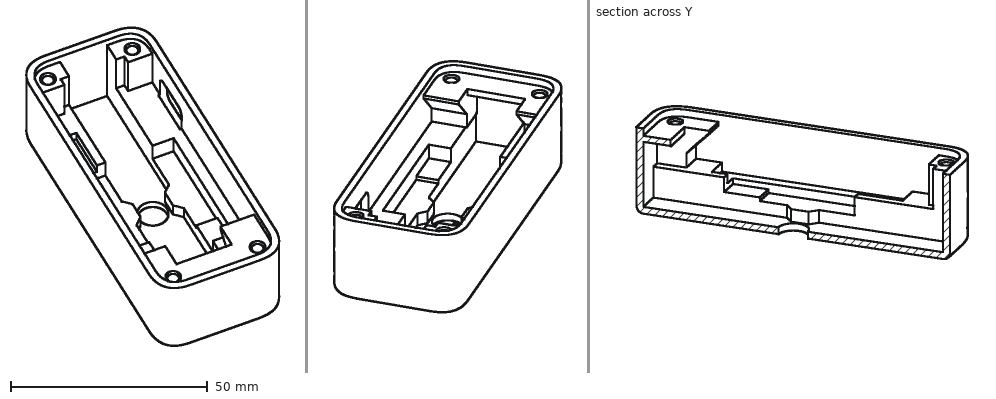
import cadquery as cq

LENGTH = 86.0
WIDTH = 35.5
HEIGHT = 23.45
WALL = 2.0
CORNER_REACH = 8.0
CORNER_FULLNESS = 0.66
BOTTOM_FILLET = 2.0
INNER_X = LENGTH / 2 - WALL
INNER_Y = WIDTH / 2 - WALL
INNER_REACH = CORNER_REACH - WALL

FLOOR_Z = 2.0
LEDGE_DEPTH = 13.0
LEDGE_Z = HEIGHT - LEDGE_DEPTH
LID_THICKNESS = 2.0
LID_SEAT_Z = HEIGHT - LID_THICKNESS

CHANNEL_HALF_WIDTH = 6.625
NECK_HALF_WIDTH = 4.55
NECK_HALF_LENGTH = 2.4
NECK_TAPER = 2.0
CENTRE_HOLE_DIAMETER = 8.0

POCKET_X_MIN = -14.1
POCKET_STEP_X = 11.85
POCKET_X_MAX = 21.6
POCKET_HALF_WIDTH = 12.55
POCKET_DEPTH = 5.0
POCKET_STEP_HEIGHT = 1.0
POCKET_Z = LEDGE_Z - POCKET_DEPTH
POCKET_STEP_Z = POCKET_Z + POCKET_STEP_HEIGHT

RECESS_X_MIN = -26.3
RECESS_X_MAX = 25.9
RECESS_INNER_Y = -9.0
RECESS_Z = 8.0

POST_X = -33.5
POST_NOTCH_X = -35.65
POST_NOTCH_Y = 8.95

DECK_X = 26.8
DECK_EDGE_THICKNESS = 0.9
DECK_THICKNESS = 1.8
DECK_NOTCH_X = 33.5
DECK_NOTCH_Y_MAX = 6.3
DECK_NOTCH_Y_MIN = -9.2
BRACKET_X = 33.0
BRACKET_BOTTOM_Z = LID_SEAT_Z - DECK_EDGE_THICKNESS - (BRACKET_X - DECK_X)

SCREW_X = 37.1
SCREW_Y = 11.85
SCREW_DIAMETER = 3.0
SCREW_CHAMFER = 0.5

WINDOW_X = -22.55
WINDOW_WIDTH = 12.8
WINDOW_RADIUS = 2.0
WINDOW_SILL_DEPTH = 1.8
WINDOW_BOTTOM_Z = LEDGE_Z - WINDOW_SILL_DEPTH
WINDOW_TOP_Z = 17.0
WINDOW_NICK = 0.45
WINDOW_INNER_Y = INNER_Y - WINDOW_NICK


def box(x_min, x_max, y_min, y_max, z_min, z_max):
    """Axis-aligned box given by its limits."""
    size = (x_max - x_min, y_max - y_min, z_max - z_min)
    return cq.Workplane("XY").box(*size, centered=False).translate((x_min, y_min, z_min))


def rounded_block(half_x, half_y, reach, z_min, z_max):
    """Centred block whose corners are smooth curves, fuller than a circular arc."""
    straight_x = half_x - reach
    straight_y = half_y - reach
    handle_x = straight_x + CORNER_FULLNESS * reach
    handle_y = straight_y + CORNER_FULLNESS * reach
    outline = cq.Workplane("XY", origin=(0, 0, z_min)).moveTo(half_x, -straight_y)
    for sign_x, sign_y in ((1, 1), (-1, 1), (-1, -1), (1, -1)):
        side_point = (sign_x * half_x, sign_y * straight_y)
        side_handle = (sign_x * half_x, sign_y * handle_y)
        end_handle = (sign_x * handle_x, sign_y * half_y)
        end_point = (sign_x * straight_x, sign_y * half_y)
        curve = [side_point, side_handle, end_handle, end_point]
        if sign_x != sign_y:
            curve.reverse()
        outline = outline.lineTo(*curve[0]).bezier(curve[1:], includeCurrent=True)
    return outline.close().extrude(z_max - z_min)


def cavity(z_min):
    """Everything inside the walls, from z_min up to the rim."""
    return rounded_block(INNER_X, INNER_Y, INNER_REACH, z_min, HEIGHT)


def shell():
    """Walls with solid filling up to the ledge."""
    body = rounded_block(LENGTH / 2, WIDTH / 2, CORNER_REACH, 0, HEIGHT)
    body = body.faces("<Z").edges().fillet(BOTTOM_FILLET)
    return body.cut(cavity(LEDGE_Z))


def channel():
    """Channel void between the end walls, less the two neck ribs beside the centre hole."""
    void = box(-INNER_X, INNER_X, -CHANNEL_HALF_WIDTH, CHANNEL_HALF_WIDTH, FLOOR_Z, LEDGE_Z)
    rib_height = LEDGE_Z - FLOOR_Z
    for side in (-1, 1):
        rib = (
            cq.Workplane("XY", origin=(0, 0, FLOOR_Z))
            .moveTo(-NECK_HALF_LENGTH - NECK_TAPER, side * CHANNEL_HALF_WIDTH)
            .lineTo(-NECK_HALF_LENGTH, side * NECK_HALF_WIDTH)
            .lineTo(NECK_HALF_LENGTH, side * NECK_HALF_WIDTH)
            .lineTo(NECK_HALF_LENGTH + NECK_TAPER, side * CHANNEL_HALF_WIDTH)
            .close()
            .extrude(rib_height)
        )
        void = void.cut(rib)
    return void


def cross_pocket():
    """Two-level pocket cut down into the ledge and the neck ribs."""
    y_limits = (-POCKET_HALF_WIDTH, POCKET_HALF_WIDTH)
    deep = box(POCKET_X_MIN, POCKET_STEP_X, *y_limits, POCKET_Z, LEDGE_Z)
    shallow = box(POCKET_STEP_X, POCKET_X_MAX, *y_limits, POCKET_STEP_Z, LEDGE_Z)
    return deep.union(shallow)


def side_recess():
    """Recess cut into the ledge beside the -Y wall."""
    return box(RECESS_X_MIN, RECESS_X_MAX, -INNER_Y, RECESS_INNER_Y, RECESS_Z, LEDGE_Z)


def screw_posts():
    """Pair of notched corner posts standing on the ledge."""
    posts = box(-INNER_X, POST_X, -INNER_Y, INNER_Y, LEDGE_Z, LID_SEAT_Z)
    posts = posts.cut(box(-INNER_X, POST_X, -CHANNEL_HALF_WIDTH, CHANNEL_HALF_WIDTH, LEDGE_Z, LID_SEAT_Z))
    posts = posts.cut(box(POST_NOTCH_X, POST_X, -POST_NOTCH_Y, POST_NOTCH_Y, LEDGE_Z, LID_SEAT_Z))
    return posts.intersect(cavity(LEDGE_Z))


def bracket(y_min, y_max):
    """Corner block whose upper part slopes out to carry the deck edge."""
    return (
        cq.Workplane("XZ", origin=(0, y_max, 0))
        .moveTo(INNER_X, LEDGE_Z)
        .lineTo(BRACKET_X, LEDGE_Z)
        .lineTo(BRACKET_X, BRACKET_BOTTOM_Z)
        .lineTo(DECK_X, LID_SEAT_Z - DECK_EDGE_THICKNESS)
        .lineTo(DECK_X, LID_SEAT_Z)
        .lineTo(INNER_X, LID_SEAT_Z)
        .close()
        .extrude(y_max - y_min)
    )


def deck():
    """Deck at the +X end: a bridge between two brackets."""
    bridge_bottom_z = LID_SEAT_Z - DECK_THICKNESS
    bridge = box(DECK_NOTCH_X, INNER_X, DECK_NOTCH_Y_MIN, DECK_NOTCH_Y_MAX, bridge_bottom_z, LID_SEAT_Z)
    solid = bridge.union(bracket(DECK_NOTCH_Y_MAX, INNER_Y)).union(bracket(-INNER_Y, DECK_NOTCH_Y_MIN))
    return solid.intersect(cavity(LEDGE_Z))


def screw_holes():
    """Four through holes with a chamfered mouth at the lid seat."""
    radius = SCREW_DIAMETER / 2
    profile = (
        cq.Workplane("XZ")
        .lineTo(radius, 0)
        .lineTo(radius, LID_SEAT_Z - SCREW_CHAMFER)
        .lineTo(radius + SCREW_CHAMFER, LID_SEAT_Z)
        .lineTo(0, LID_SEAT_Z)
        .close()
    )
    hole = profile.revolve(360, (0, 0), (0, 1))
    holes = cq.Workplane("XY")
    for x in (-SCREW_X, SCREW_X):
        for y in (-SCREW_Y, SCREW_Y):
            holes = holes.add(hole.translate((x, y, 0)))
    return holes.combine()


def window():
    """Rounded opening through the +Y wall that also nicks the edge of the ledge."""
    x_min = WINDOW_X - WINDOW_WIDTH / 2
    opening = box(x_min, x_min + WINDOW_WIDTH, WINDOW_INNER_Y, WIDTH / 2, WINDOW_BOTTOM_Z, WINDOW_TOP_Z)
    return opening.edges("|Y").fillet(WINDOW_RADIUS)


def centre_hole():
    """Round hole through the channel floor."""
    return cq.Workplane("XY").circle(CENTRE_HOLE_DIAMETER / 2).extrude(FLOOR_Z)


result = (
    shell()
    .cut(channel())
    .cut(cross_pocket())
    .cut(side_recess())
    .union(screw_posts())
    .union(deck())
    .cut(screw_holes())
    .cut(window())
    .cut(centre_hole())
)